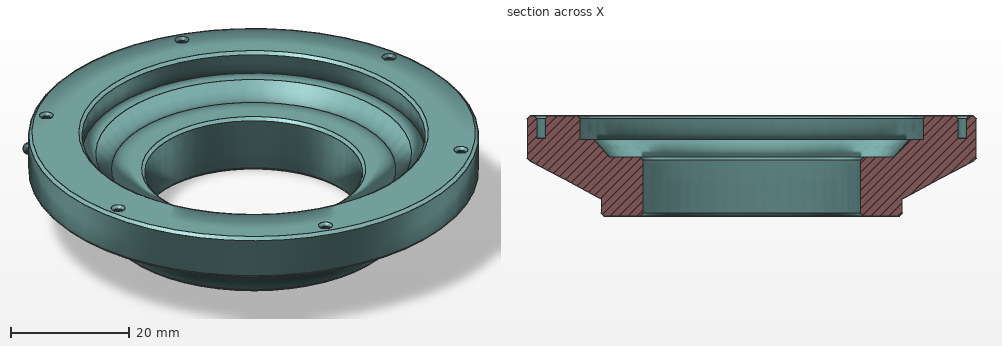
import cadquery as cq
import math

height = 17.0
flange_radius = 76 / 2
neck_radius = 51.0 / 2
neck_height = 2.9
flange_thickness = 7.75
edge_chamfer = 0.5

bore_radius = 36.8 / 2
recess_radius = 58.0 / 2
recess_depth = 4.0
taper_top_radius = 26.7
taper_bottom_radius = 24.0
floor_depth = 7.0

screw_count = 6
screw_circle_radius = 35.6
screw_diameter = 1.4
countersink_diameter = 2.35
countersink_angle = 90
screw_depth = 3.8

ball_radius = 1.0
ball_angle = 180 + 37.3
ball_height = 13.0


def make_body():
    """Revolve the half section, stepping up the outside and down the bore."""
    flange_bottom = height - flange_thickness
    ledge_height = height - recess_depth
    floor_height = height - floor_depth
    section = [
        (bore_radius + edge_chamfer, 0),
        (neck_radius - edge_chamfer, 0),
        (neck_radius, edge_chamfer),
        (neck_radius, neck_height),
        (flange_radius - edge_chamfer, flange_bottom),
        (flange_radius, flange_bottom + edge_chamfer),
        (flange_radius, height - edge_chamfer),
        (flange_radius - edge_chamfer, height),
        (recess_radius + edge_chamfer, height),
        (recess_radius, height - edge_chamfer),
        (recess_radius, ledge_height),
        (taper_top_radius, ledge_height),
        (taper_bottom_radius, floor_height),
        (bore_radius + edge_chamfer, floor_height),
        (bore_radius, floor_height - edge_chamfer),
        (bore_radius, edge_chamfer),
    ]
    return cq.Workplane("XZ").polyline(section).close().revolve(360, (0, 0), (0, 1))


def cut_screw_holes(body):
    """Cut the ring of countersunk holes, with one hole on the +Y axis."""
    return (
        body.faces(">Z")
        .workplane(origin=(0, 0, height))
        .polarArray(screw_circle_radius, 90, 360, screw_count)
        .cskHole(screw_diameter, countersink_diameter, countersink_angle, screw_depth)
    )


def make_index_ball():
    """Make the ball, centred on the outer surface of the rim."""
    angle = math.radians(ball_angle)
    centre = (flange_radius * math.cos(angle), flange_radius * math.sin(angle), ball_height)
    return cq.Workplane("XY").sphere(ball_radius).translate(centre)


result = cut_screw_holes(make_body()).union(make_index_ball())